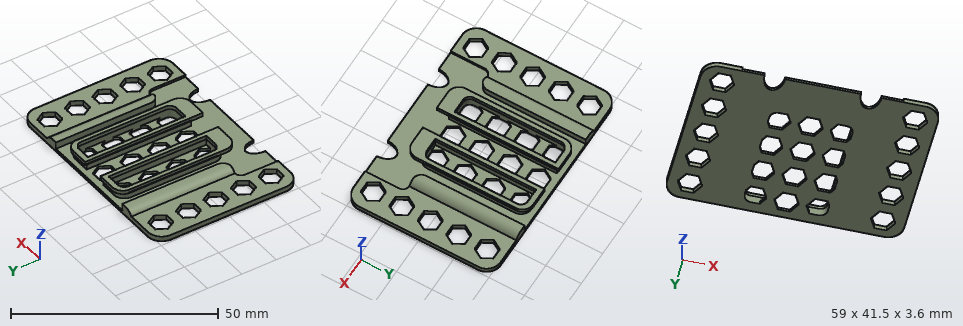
import cadquery as cq
import math

length = 59.0
width = 41.5
corner_radius = 4.0
floor_thickness = 0.8
border_thickness = 1.5
total_height = 3.6

rail_height = 2.8
rail_inner_x = 14.35
rail_flat_outer_x = 15.8
rail_outer_x = 18.3
rail_end_y = -9.3
rail_end_radius = 2.5
border_inner_x = 20.05
border_step_radius = 1.9

hex_across_flats = 5.25
border_hole_x = 24.0
border_column = 3
hex_pitch = border_hole_x / border_column
border_rows = (-2, -1, 0, 1, 2)
floor_columns = (-1, 0, 1)
floor_rows = (-1, 0, 1, 2)

notch_x = 12.0
notch_half_width = 2.55
notch_depth = 4.0

window_inner_x = 4.55
window_outer_x = 10.3
window_back_y = 18.05
window_front_y = -10.25
window_radius = 1.9
wall_thickness = 1.0
cap_thickness = 1.05
cap_side_overhang = 0.25
cap_back_overhang = 0.65
cap_front_overhang = 3.25

wall_inner_x = window_inner_x - wall_thickness
wall_outer_x = window_outer_x + wall_thickness
wall_back_y = window_back_y + wall_thickness
wall_front_y = window_front_y - wall_thickness
wall_radius = window_radius + wall_thickness
cap_radius = wall_radius + cap_side_overhang
cap_bottom = total_height - cap_thickness

half_length = length / 2
half_width = width / 2
sides = (1, -1)


def both_sides(right_half):
    """Join a right-hand feature with its mirror image on the left."""
    return right_half.union(right_half.mirror("YZ"))


def rounded_block(inner_x, outer_x, front_y, back_y, bottom, top, radius):
    """Block on the +X side whose two outer vertical edges are rounded."""
    return (
        cq.Workplane("XY")
        .box(outer_x - inner_x, back_y - front_y, top - bottom, centered=False)
        .translate((inner_x, front_y, bottom))
        .edges("|Z and >X")
        .fillet(radius)
    )


def border_outline():
    """Plan of the right border: wide beside the rail, narrower in front of it."""
    return (
        cq.Workplane("XY")
        .moveTo(half_length, -half_width)
        .lineTo(half_length, half_width)
        .lineTo(rail_inner_x, half_width)
        .lineTo(rail_inner_x, rail_end_y + rail_end_radius)
        .radiusArc((rail_inner_x + rail_end_radius, rail_end_y), -rail_end_radius)
        .lineTo(border_inner_x - border_step_radius, rail_end_y)
        .radiusArc((border_inner_x, rail_end_y - border_step_radius), border_step_radius)
        .lineTo(border_inner_x, -half_width)
        .close()
        .extrude(rail_height)
    )


def border_profile():
    """Section of the right border; the rail's back is an arc tangent to its top."""
    run = rail_outer_x - rail_flat_outer_x
    drop = rail_height - border_thickness
    arc_radius = (run**2 + drop**2) / (2 * drop)
    half_angle = math.asin(run / arc_radius) / 2
    arc_middle = (
        rail_flat_outer_x + arc_radius * math.sin(half_angle),
        rail_height - arc_radius * (1 - math.cos(half_angle)),
    )
    return (
        cq.Workplane("XZ")
        .moveTo(rail_inner_x, 0)
        .lineTo(rail_inner_x, rail_height)
        .lineTo(rail_flat_outer_x, rail_height)
        .threePointArc(arc_middle, (rail_outer_x, border_thickness))
        .lineTo(half_length, border_thickness)
        .lineTo(half_length, 0)
        .close()
        .extrude(half_width, both=True)
    )


def hex_holes():
    """Hexagonal cutters with corners pointing along X."""
    cells = [(column, row) for column in floor_columns for row in floor_rows]
    cells += [(side * border_column, row) for side in sides for row in border_rows]
    centres = [(column * hex_pitch, row * hex_pitch) for column, row in cells]
    across_corners = hex_across_flats / math.cos(math.pi / 6)
    return cq.Workplane("XY").pushPoints(centres).polygon(6, across_corners).extrude(total_height)


def notches():
    """Half-elliptic cutters at the front edge."""
    return (
        cq.Workplane("XY")
        .pushPoints([(side * notch_x, -half_width) for side in sides])
        .ellipse(notch_half_width, notch_depth)
        .extrude(total_height)
    )


def window(bottom, top):
    """Right-hand window opening between two heights."""
    return rounded_block(
        window_inner_x, window_outer_x, window_front_y, window_back_y, bottom, top, window_radius
    )


def window_wall():
    """Wall around the right-hand window, from the underside to the cap, filling the holes it crosses."""
    outside = rounded_block(
        wall_inner_x, wall_outer_x, wall_front_y, wall_back_y, 0, cap_bottom, wall_radius
    )
    return outside.cut(window(0, cap_bottom))


def make_plate():
    """Base plate with its borders, rails, holes, notches and window walls."""
    floor = cq.Workplane("XY").box(length, width, floor_thickness, centered=(True, True, False))
    borders = both_sides(border_outline().intersect(border_profile()))
    corners = (
        cq.Workplane("XY")
        .box(length, width, total_height, centered=(True, True, False))
        .edges("|Z")
        .fillet(corner_radius)
    )
    plate = floor.union(borders).intersect(corners)
    plate = plate.cut(hex_holes()).cut(notches())
    return plate.union(both_sides(window_wall()))


def make_cap(side):
    """Flat frame lying on one window wall; side is +1 for right, -1 for left."""
    outside = rounded_block(
        wall_inner_x - cap_side_overhang,
        wall_outer_x + cap_side_overhang,
        wall_front_y - cap_front_overhang,
        wall_back_y + cap_back_overhang,
        cap_bottom,
        total_height,
        cap_radius,
    )
    cap = outside.cut(window(cap_bottom, total_height))
    return cap if side > 0 else cap.mirror("YZ")


plate = make_plate()
caps = [make_cap(side) for side in sides]

result = cq.Compound.makeCompound([plate.solids().val(), *[cap.solids().val() for cap in caps]])